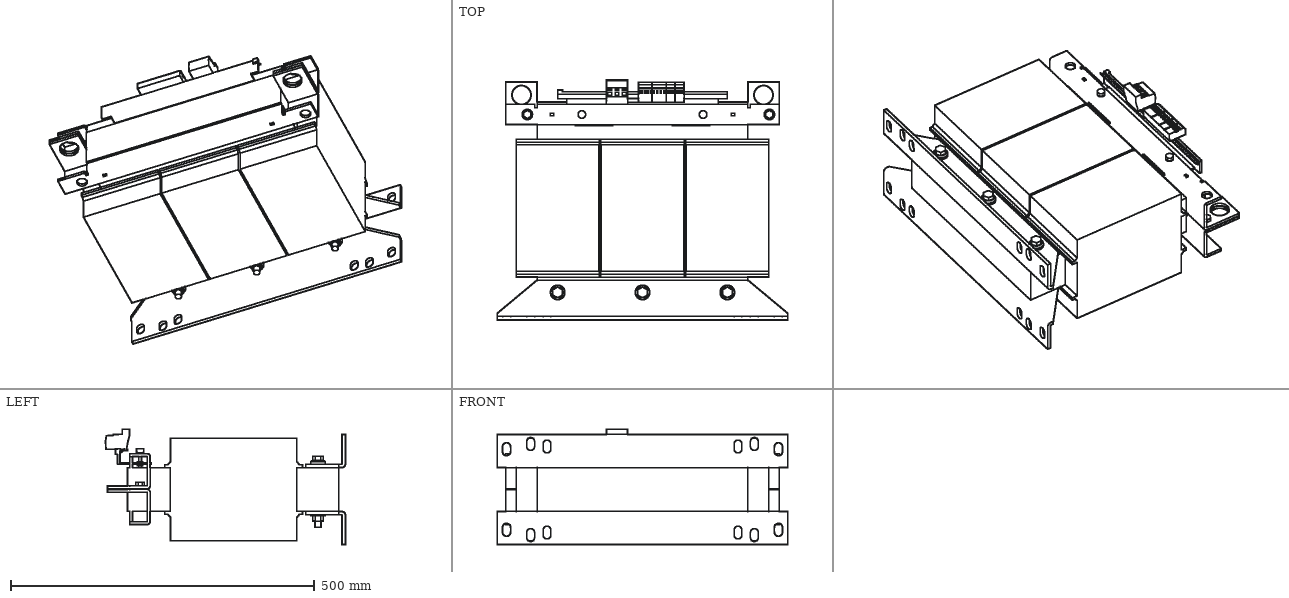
import cadquery as cq


core_width = 348.0
core_half_depth = 36.0
core_front = 11.0
core_back = 360.0
coil_pitch = 140.0
coil_width = 137.0
coil_half_depth = 84.8
coil_front = 80.5
coil_back = 289.0
lip_reach = 9.5
lip_flat = 5.0
lip_thickness = 5.0
lip_rise = 10.0
lip_overlap = 1.0

foot_length = 480.0
foot_thickness = 6.0
foot_bend_radius = 7.0
foot_height = 55.0
foot_depth = 66.0
foot_straight_edge = 11.0
slot_width = 13.0
slot_length = 21.0
foot_slots = [(224.3, 66.5), (184.6, 75.0), (157.6, 71.0)]

foot_bolt_y = 45.6
washer_diameter = 24.0
washer_thickness = 3.5
cone_height = 2.5
bolt_hex_corners = 18.0
bolt_head_height = 7.0
lower_washer_thickness = 1.5
nut_height = 8.5
foot_shank_diameter = 10.5
foot_shank_end = -62.6

clamp_length = 452.0
clamp_thickness = 5.0
clamp_bend_radius = 5.0
fold_bend_radius = 4.5
clamp_height = 58.2
clamp_joint_z = 0.7
clamp_joint_gap = 0.8
clamp_web_front = 322.5
clamp_flange_back = 356.5
lug_back = 393.0
lug_width = 52.0
lug_hole_diameter = 31.0
lug_hole_x = 199.7
lug_hole_y = 371.3
relief_width = 4.0
relief_depth = 6.0

clamp_hole_y = 339.2
access_hole_diameter = 17.0
access_hole_places = [-190.0, 209.4]
lug_bolt_corners = 13.5
lug_bolt_height = 5.5
small_slot_x = 149.5
small_slot_length = 6.0
small_slot_width = 4.0
screw_x = 100.0
screw_head_diameter = 12.5
screw_head_bottom = 61.0
screw_head_top = 67.5
screw_collar_diameter = 9.0
screw_shank_diameter = 5.0
screw_nut_bottom = 39.5
screw_nut_top = 46.0

bracket_length = 250.0
bracket_bottom = 41.6
bracket_sheet = 2.2
bracket_back = 376.8
bracket_upright = 4.6
bracket_tab_inner = 49.0
bracket_tab_outer = 111.0
bracket_tab_front = 321.0
rail_length = 280.0
rail_front = 365.0
rail_bottom = 60.0
end_clamp_bottom = 58.0
rail_top = 67.0
rail_sheet = 2.0
end_clamp_length = 8.0
end_clamp_overhang = 3.0

block_bottom = 66.3
large_block_left = -59.8
large_block_right = -24.4
large_block_back = 396.45
large_block_top = 99.55
large_foot_y = 362.0
large_foot_bottom = 63.6
large_base_front = 366.6
large_base_back = 395.6
large_back_z = 79.5
large_shoulder_back = 394.9
large_shoulder_z = 89.0
large_step_bottom = 89.6
large_step_top = 90.8
large_entry_back = 368.7
large_entry_bottom = 91.5
large_block_front = 356.5
large_entry_bottom_front = 88.5
large_waist_y = 360.0
large_waist_z = 75.2
large_pocket_count = 3
large_pocket_width = 6.5
large_pocket_y = 373.5
large_pocket_length = 5.5
large_slit_y = 380.3
large_slit_length = 1.5
large_step_y = 383.4
large_pocket_floor = 88.0
small_block_edges = [-6.8, 15.6, 39.2, 53.8, 68.8]
small_block_front = 359.8
small_block_foot_front = 361.5
small_block_foot_top = 75.0
small_block_back = 392.6
small_block_top = 82.5
small_block_bevel = 4.0
small_block_groove_y = 382.7
small_block_groove_width = 1.5
small_pocket_counts = [5, 4, 4, 4]
small_pocket_width = 1.8
small_pocket_y = 376.2
small_pocket_length = 4.5
joint_groove_width = 0.6
groove_depth = 1.0
block_pocket_depth = 3.0


def block(x0, x1, y0, y1, z0, z1):
    """Box between two opposite corners."""
    return cq.Workplane("XY").box(x1 - x0, y1 - y0, z1 - z0, centered=False).translate((x0, y0, z0))


def rod(x, y, z0, z1, diameter):
    """Round bar along Z."""
    return cq.Workplane("XY", origin=(x, y, z0)).circle(diameter / 2).extrude(z1 - z0)


def hexagon(x, y, z0, z1, corners):
    """Hexagonal bar along Z, sized across its corners, with two corners pointing along Y."""
    bar = cq.Workplane("XY").polygon(6, corners).extrude(z1 - z0)
    return bar.rotate((0, 0, 0), (0, 0, 1), 90).translate((x, y, z0))


def section(x0, x1, points):
    """Straight-sided YZ section extruded from x0 to x1."""
    return cq.Workplane("YZ", origin=(x0, 0, 0)).polyline(points).close().extrude(x1 - x0)


def make_core():
    """Both yokes; the legs between them are inside the coils."""
    half = core_width / 2
    front_yoke = block(-half, half, core_front, coil_front, -core_half_depth, core_half_depth)
    back_yoke = block(-half, half, coil_back, core_back, -core_half_depth, core_half_depth)
    return front_yoke.union(back_yoke)


def make_lip(x0, x1):
    """Flared insulation lip at the front end of a coil, on the upper core face."""
    flat_top = core_half_depth + lip_thickness
    lip_edge = coil_front - lip_reach
    lip_root = coil_front + lip_overlap
    points = [
        (lip_edge, core_half_depth),
        (lip_edge, flat_top),
        (lip_edge + lip_flat, flat_top),
        (coil_front, core_half_depth + lip_rise),
        (lip_root, core_half_depth + lip_rise),
        (lip_root, core_half_depth),
    ]
    return section(x0, x1, points)


def make_coil(x):
    """One coil with a lip at each end of its upper and lower side."""
    x0 = x - coil_width / 2
    x1 = x + coil_width / 2
    coil = block(x0, x1, coil_front, coil_back, -coil_half_depth, coil_half_depth)
    front_lip = make_lip(x0, x1)
    back_lip = front_lip.mirror("XZ", (0, (coil_front + coil_back) / 2, 0))
    for lip in (front_lip, back_lip):
        coil = coil.union(lip).union(lip.mirror("XY"))
    return coil


def make_foot():
    """Upper foot: a bent angle with its horizontal leg tapered towards the core."""
    half = foot_length / 2
    bottom = core_half_depth
    top = bottom + foot_height
    foot = section(
        -half,
        half,
        [
            (0, bottom),
            (foot_depth, bottom),
            (foot_depth, bottom + foot_thickness),
            (foot_thickness, bottom + foot_thickness),
            (foot_thickness, top),
            (0, top),
        ],
    )
    foot = foot.edges(cq.selectors.NearestToPointSelector((0, 0, bottom))).fillet(foot_bend_radius)
    inner_corner = (0, foot_thickness, bottom + foot_thickness)
    foot = foot.edges(cq.selectors.NearestToPointSelector(inner_corner)).fillet(
        foot_bend_radius - foot_thickness
    )
    plan = (
        cq.Workplane("XY", origin=(0, 0, bottom))
        .polyline(
            [
                (-half, 0),
                (half, 0),
                (half, foot_straight_edge),
                (core_width / 2, foot_depth),
                (-core_width / 2, foot_depth),
                (-half, foot_straight_edge),
            ]
        )
        .close()
        .extrude(foot_height)
    )
    foot = foot.intersect(plan)
    slot_places = [(side * x, z) for x, z in foot_slots for side in (-1, 1)]
    slots = (
        cq.Workplane("XZ")
        .pushPoints(slot_places)
        .slot2D(slot_length, slot_width, 90)
        .extrude(-foot_thickness)
    )
    return foot.cut(slots)


def make_foot_bolt(x):
    """Bolt through the feet and the front yoke: head above, nut and shank end below."""
    plate_top = core_half_depth + foot_thickness
    cone_bottom = plate_top + washer_thickness
    head_bottom = cone_bottom + cone_height
    bolt = rod(x, foot_bolt_y, plate_top, cone_bottom, washer_diameter)
    cone = (
        cq.Workplane("XY", origin=(x, foot_bolt_y, cone_bottom))
        .circle(washer_diameter / 2)
        .workplane(offset=cone_height)
        .circle(bolt_hex_corners / 2)
        .loft()
    )
    bolt = bolt.union(cone)
    bolt = bolt.union(hexagon(x, foot_bolt_y, head_bottom, head_bottom + bolt_head_height, bolt_hex_corners))
    nut_top = -plate_top - lower_washer_thickness
    bolt = bolt.union(rod(x, foot_bolt_y, nut_top, -plate_top, washer_diameter))
    bolt = bolt.union(hexagon(x, foot_bolt_y, nut_top - nut_height, nut_top, bolt_hex_corners))
    return bolt.union(rod(x, foot_bolt_y, foot_shank_end, -plate_top, foot_shank_diameter))


def make_clamp():
    """Upper clamp channel, with its joint face at Z = 0, including the lifting lugs."""
    half = clamp_length / 2
    inner_half = half - lug_width
    web_back = clamp_web_front + clamp_thickness
    flange_bottom = clamp_height - clamp_thickness
    web = block(-half, half, clamp_web_front, lug_back, 0, clamp_height)
    web = web.edges("|X and <Y").fillet(clamp_bend_radius)
    channel_space = block(-half, half, web_back, lug_back, clamp_thickness, flange_bottom)
    flange_trim = block(-half, half, clamp_flange_back, lug_back, clamp_thickness, clamp_height)
    lug_gap = block(-inner_half, inner_half, web_back, lug_back, 0, clamp_thickness)
    clamp = web.cut(channel_space).cut(flange_trim).cut(lug_gap)

    fold_front = clamp_flange_back - clamp_thickness
    fold = block(-inner_half, inner_half, fold_front, clamp_flange_back, 0, clamp_height)
    fold = fold.edges("|X and >Y and >Z").fillet(fold_bend_radius)
    fold_room = block(-inner_half, inner_half, fold_front, clamp_flange_back, flange_bottom, clamp_height)
    clamp = clamp.cut(fold_room).union(fold)

    for side in (-1, 1):
        clamp = clamp.cut(rod(side * lug_hole_x, lug_hole_y, 0, clamp_thickness, lug_hole_diameter))
        relief = cq.Workplane("XY").box(relief_width, 2 * relief_depth, clamp_thickness)
        relief_x = side * (inner_half + relief_width / 2)
        clamp = clamp.cut(relief.translate((relief_x, clamp_flange_back, clamp_height - clamp_thickness / 2)))
        small_slot = cq.Workplane("XY").box(small_slot_length, small_slot_width, clamp_thickness)
        slot_z = clamp_height - clamp_thickness / 2
        clamp = clamp.cut(small_slot.translate((side * small_slot_x, clamp_hole_y, slot_z)))
    for x in access_hole_places:
        clamp = clamp.cut(rod(x, clamp_hole_y, flange_bottom, clamp_height, access_hole_diameter))
    return clamp


def make_clamp_pair():
    """Two equal channels back to back, one turned over about Y, with the lug bolt heads."""
    upper = make_clamp().translate((0, 0, clamp_joint_gap / 2))
    pair = upper.union(upper.rotate((0, 0, 0), (0, 1, 0), 180))
    for x in access_hole_places:
        lug_top = clamp_joint_gap / 2 + clamp_thickness
        head_top = lug_top + lug_bolt_height
        pair = pair.union(hexagon(x, clamp_hole_y, lug_top, head_top, lug_bolt_corners))
    return pair.translate((0, 0, clamp_joint_z))


def make_bracket_screw(x):
    """Screw holding the rail bracket under the upper clamp flange."""
    flange_top = clamp_joint_z + clamp_joint_gap / 2 + clamp_height
    screw = rod(x, clamp_hole_y, core_half_depth, screw_head_bottom, screw_shank_diameter)
    screw = screw.union(rod(x, clamp_hole_y, flange_top, screw_head_bottom, screw_collar_diameter))
    screw = screw.union(rod(x, clamp_hole_y, screw_head_bottom, screw_head_top, screw_head_diameter))
    return screw.union(rod(x, clamp_hole_y, screw_nut_bottom, screw_nut_top, screw_collar_diameter))


def make_rail():
    """Bracket plate, upright rail with a sloped lip, and the end clamp on the rail."""
    half = bracket_length / 2
    plate_top = bracket_bottom + bracket_sheet
    upright_front = bracket_back - bracket_upright
    rail_half = rail_length / 2
    rail = block(-half, half, clamp_web_front, bracket_back, bracket_bottom, plate_top)
    for x0 in (-bracket_tab_outer, bracket_tab_inner):
        x1 = x0 + bracket_tab_outer - bracket_tab_inner
        rail = rail.union(block(x0, x1, bracket_tab_front, clamp_web_front, bracket_bottom, plate_top))
    rail = rail.union(block(-rail_half, rail_half, upright_front, bracket_back, bracket_bottom, rail_top))
    rail = rail.edges("|X and >Y and <Z").fillet(bracket_sheet)
    lip_root = upright_front + bracket_upright / 2
    rail_lip = section(
        -rail_half,
        rail_half,
        [
            (lip_root, rail_bottom),
            (lip_root, rail_bottom + rail_sheet),
            (upright_front, rail_bottom + rail_sheet),
            (rail_front, rail_top),
            (rail_front, rail_top - rail_sheet),
            (upright_front, rail_bottom),
        ],
    )
    rail = rail.union(rail_lip)
    end_clamp = block(
        -rail_half,
        -rail_half + end_clamp_length,
        upright_front,
        bracket_back + end_clamp_overhang,
        end_clamp_bottom,
        rail_top,
    )
    return rail.union(end_clamp)


def make_large_block():
    """Large terminal block with a raised wire-entry side."""
    profile = [
        (large_foot_y, large_foot_bottom),
        (large_base_front, block_bottom),
        (large_base_back, block_bottom),
        (large_block_back, large_back_z),
        (large_shoulder_back, large_shoulder_z),
        (large_step_y, large_step_bottom),
        (large_step_y, large_step_top),
        (large_entry_back, large_entry_bottom),
        (large_entry_back, large_block_top),
        (large_block_front, large_block_top),
        (large_block_front, large_entry_bottom_front),
        (large_waist_y, large_waist_z),
    ]
    terminal = section(large_block_left, large_block_right, profile)
    spacing = (large_block_right - large_block_left) / large_pocket_count
    for index in range(large_pocket_count):
        x = large_block_left + spacing * (index + 0.5)
        x0 = x - large_pocket_width / 2
        x1 = x + large_pocket_width / 2
        for y, length in ((large_pocket_y, large_pocket_length), (large_slit_y, large_slit_length)):
            pocket = block(x0, x1, y - length / 2, y + length / 2, large_pocket_floor, large_block_top)
            terminal = terminal.cut(pocket)
    return terminal


def make_small_blocks():
    """Row of small terminal blocks with joint grooves and wire-entry pockets, and the stop beside it."""
    left = small_block_edges[0]
    right = small_block_edges[-1]
    profile = [
        (small_block_foot_front, block_bottom),
        (small_block_back, block_bottom),
        (small_block_back, small_block_top - small_block_bevel),
        (small_block_back - small_block_bevel, small_block_top),
        (small_block_front, small_block_top),
        (small_block_front, small_block_foot_top),
    ]
    row = section(left, right, profile)
    groove = cq.Workplane("XY").box(2 * right, small_block_groove_width, 2 * groove_depth)
    row = row.cut(groove.translate((0, small_block_groove_y, small_block_top)))
    for x in small_block_edges[1:-1]:
        joint = cq.Workplane("XY").box(joint_groove_width, 2 * small_block_back, 2 * groove_depth)
        row = row.cut(joint.translate((x, 0, small_block_top)))
    for index, count in enumerate(small_pocket_counts):
        start = small_block_edges[index]
        spacing = (small_block_edges[index + 1] - start) / count
        for step in range(count):
            x = start + spacing * (step + 0.5)
            pocket = cq.Workplane("XY").box(small_pocket_width, small_pocket_length, 2 * block_pocket_depth)
            row = row.cut(pocket.translate((x, small_pocket_y, small_block_top)))
    stop_bottom = large_foot_bottom
    end_stop = block(large_block_right, left, small_block_front, bracket_back, stop_bottom, block_bottom)
    return row.union(end_stop)


def make_transformer():
    body = make_core()
    for step in (-1, 0, 1):
        x = step * coil_pitch
        body = body.union(make_coil(x)).union(make_foot_bolt(x))
    foot = make_foot()
    body = body.union(foot).union(foot.mirror("XY"))
    body = body.union(make_clamp_pair()).union(make_rail())
    for side in (-1, 1):
        body = body.union(make_bracket_screw(side * screw_x))
    return body.union(make_large_block()).union(make_small_blocks())


result = make_transformer()